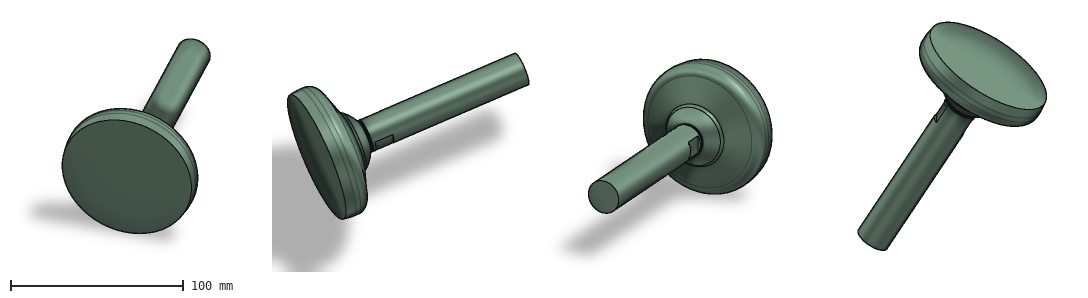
import cadquery as cq
import math

overall_length = 131.5
sole_y = -overall_length / 2

foot_radius = 40.0
sole_radius = 39.2
skirt_height = 5.9
rim_height = 9.1
shoulder_height = 15.8
shoulder_radius = 34.3
cone_top_height = 21.7
cone_top_radius = 19.2
seat_height = 23.5
seat_radius = 17.9

stem_radius = 10.0
dome_top_height = 30.0
collar_top_height = 30.8
groove_top_height = 31.7
groove_radius = 8.5

flat_bottom_height = 33.3
flat_length = 11.6
flat_half_width = 8.4


def revolve_about_y(profile):
    """Revolve a closed (radius, height) profile, placing height zero on the sole."""
    solid = profile.close().revolve(360, (0, 0, 0), (0, 1, 0))
    return solid.translate((0, sole_y, 0))


def make_foot():
    """Round foot with a rounded shoulder, two cones and a flat seat for the dome."""
    profile = (
        cq.Workplane("XY")
        .lineTo(sole_radius, 0)
        .lineTo(foot_radius, skirt_height)
        .lineTo(foot_radius, rim_height)
        .tangentArcPoint((shoulder_radius, shoulder_height), relative=False)
        .lineTo(cone_top_radius, cone_top_height)
        .lineTo(seat_radius, seat_height)
        .lineTo(0, seat_height)
    )
    return revolve_about_y(profile)


def dome_middle():
    """Point halfway along the dome's arc, whose centre lies on the stem axis."""
    centre_height = (
        seat_radius**2 + seat_height**2 - stem_radius**2 - dome_top_height**2
    ) / (2 * (seat_height - dome_top_height))
    dome_radius = math.hypot(stem_radius, dome_top_height - centre_height)
    bottom_angle = math.atan2(seat_height - centre_height, seat_radius)
    top_angle = math.atan2(dome_top_height - centre_height, stem_radius)
    middle_angle = (bottom_angle + top_angle) / 2
    return (
        dome_radius * math.cos(middle_angle),
        centre_height + dome_radius * math.sin(middle_angle),
    )


def make_stem():
    """Cylindrical stem with a spherical dome, a narrow groove and two wrench flats."""
    profile = (
        cq.Workplane("XY")
        .moveTo(0, seat_height)
        .lineTo(seat_radius, seat_height)
        .threePointArc(dome_middle(), (stem_radius, dome_top_height))
        .lineTo(stem_radius, collar_top_height)
        .lineTo(groove_radius, collar_top_height)
        .lineTo(groove_radius, groove_top_height)
        .lineTo(stem_radius, groove_top_height)
        .lineTo(stem_radius, overall_length)
        .lineTo(0, overall_length)
    )
    stem = revolve_about_y(profile)
    flat_centre_y = sole_y + flat_bottom_height + flat_length / 2
    for side in (-1, 1):
        cutter = cq.Workplane("XY").box(stem_radius, flat_length, 2 * stem_radius)
        cutter_x = side * (flat_half_width + stem_radius / 2)
        stem = stem.cut(cutter.translate((cutter_x, flat_centre_y, 0)))
    return stem


foot = make_foot()
stem = make_stem()

result = cq.Compound.makeCompound([foot.val(), stem.val()])